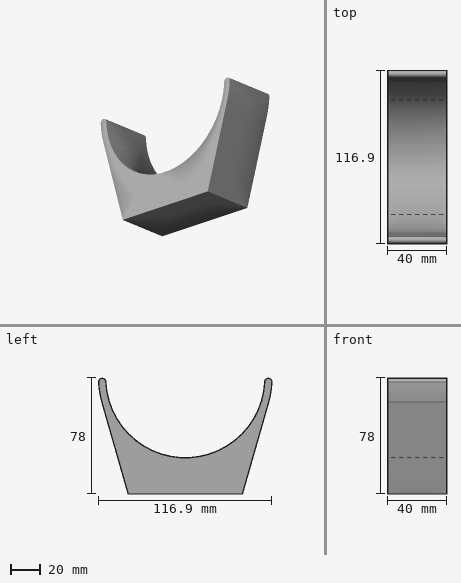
import cadquery as cq
import math

saddle_length = 40.0
total_height = 78.0
bore_radius = 53.5
wall_thickness = 5.0
base_width = 77.0

outer_radius = bore_radius + wall_thickness
mid_radius = bore_radius + wall_thickness / 2
tip_radius = wall_thickness / 2
axis_height = total_height
half_base = base_width / 2

tip_angle = math.asin(tip_radius / mid_radius)

corner_distance = math.hypot(half_base, axis_height)
corner_angle = math.atan2(axis_height, half_base)
tangent_angle = corner_angle - math.acos(outer_radius / corner_distance)


def cradle_point(radius, angle, side):
    """Point in the YZ profile at an angle below the bore axis; side is +1 or -1 along Y."""
    return (side * radius * math.cos(angle), axis_height - radius * math.sin(angle))


def tip_crown(side):
    """Outermost point of a tip's half round, measured along the cradle's circumference."""
    y, z = cradle_point(mid_radius, tip_angle, side)
    return (y + side * tip_radius * math.sin(tip_angle), z + tip_radius * math.cos(tip_angle))


def outer_arc_middle(side):
    """Point halfway along the short outer arc between flank and tip."""
    return cradle_point(outer_radius, (tip_angle + tangent_angle) / 2, side)


def saddle_profile():
    """Closed YZ outline: foot, tangent flanks, round-tipped arms and bore."""
    return (
        cq.Workplane("YZ")
        .moveTo(-half_base, 0)
        .lineTo(half_base, 0)
        .lineTo(*cradle_point(outer_radius, tangent_angle, 1))
        .threePointArc(outer_arc_middle(1), cradle_point(outer_radius, tip_angle, 1))
        .threePointArc(tip_crown(1), cradle_point(bore_radius, tip_angle, 1))
        .threePointArc((0, axis_height - bore_radius), cradle_point(bore_radius, tip_angle, -1))
        .threePointArc(tip_crown(-1), cradle_point(outer_radius, tip_angle, -1))
        .threePointArc(outer_arc_middle(-1), cradle_point(outer_radius, tangent_angle, -1))
        .close()
    )


result = saddle_profile().extrude(saddle_length / 2, both=True)